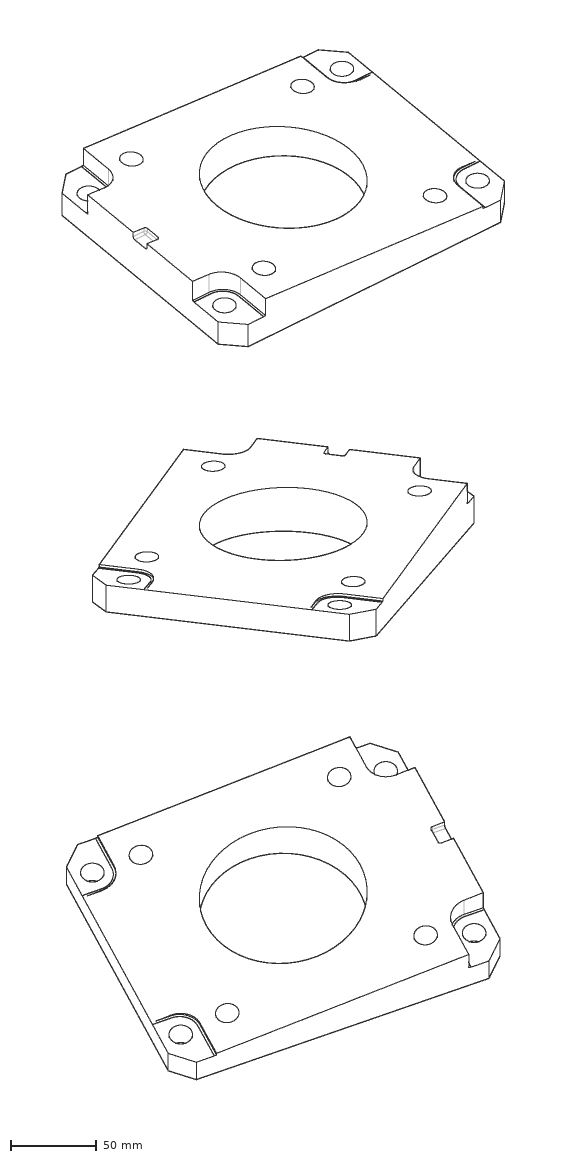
import cadquery as cq
import math

width = 174.6
length = 212.0
front_height = 31.8
slope_angle = 4.0
back_height = front_height - length * math.tan(math.radians(slope_angle))
corner_chamfer = 12.5

bore_diameter = 98.3
hole_diameter = 13.8
corner_hole_spacing = (130.0, 187.3)
inner_hole_spacing = (127.0, 127.0)

seat_height = 17.0
seat_width = 37.0
seat_length = 25.5
seat_radius = 13.1
ledge_width = 1.5
ledge_height = 0.2

notch_width = 13.1
notch_length = 9.3
notch_depth = 4.7
notch_fillet = 1.5


def wedge_block():
    """Block whose top slopes down from front to back, with chamfered vertical corners."""
    profile = [
        (-length / 2, 0),
        (length / 2, 0),
        (length / 2, back_height),
        (-length / 2, front_height),
    ]
    wedge = cq.Workplane("YZ").polyline(profile).close().extrude(width / 2, both=True)
    return wedge.edges("|Z").chamfer(corner_chamfer)


def corner_cutter(side_x, side_y, inset, floor_height):
    """Space above a corner floor, its walls set back by inset, rounded at the inner corner."""
    return (
        cq.Workplane("XY", origin=(side_x * width / 2, side_y * length / 2, floor_height))
        .rect(2 * (seat_width - inset), 2 * (seat_length - inset))
        .extrude(front_height)
        .edges("|Z")
        .fillet(seat_radius - inset)
    )


def corner_seat_cutter(side_x, side_y):
    """Space above one flat seat and the low ledge along its walls."""
    ledge_space = corner_cutter(side_x, side_y, 0, seat_height + ledge_height)
    seat_space = corner_cutter(side_x, side_y, ledge_width, seat_height)
    return ledge_space.union(seat_space)


def notch_cutter():
    """Shallow notch, open at the front and top, with rounded inner corners and floor edge."""
    return (
        cq.Workplane("XY", origin=(0, -length / 2, front_height - notch_depth))
        .rect(notch_width, 2 * notch_length)
        .extrude(front_height)
        .edges("|Z or <Z")
        .fillet(notch_fillet)
    )


def hole_pattern(plane, spacing):
    """Four through holes on a rectangle centred on a plane, square to that plane."""
    return (
        cq.Workplane(plane)
        .rect(*spacing, forConstruction=True)
        .vertices()
        .circle(hole_diameter / 2)
        .extrude(2 * front_height, both=True)
    )


result = wedge_block()
for side_x in (-1, 1):
    for side_y in (-1, 1):
        result = result.cut(corner_seat_cutter(side_x, side_y))
result = result.cut(notch_cutter())
result = result.cut(cq.Workplane("XY").circle(bore_diameter / 2).extrude(front_height))

base_plane = cq.Plane.XY()
slope_normal = (0, math.sin(math.radians(slope_angle)), math.cos(math.radians(slope_angle)))
top_plane = cq.Plane(
    origin=(0, 0, (front_height + back_height) / 2),
    xDir=(1, 0, 0),
    normal=slope_normal,
)
result = result.cut(hole_pattern(base_plane, corner_hole_spacing))
result = result.cut(hole_pattern(top_plane, inner_hole_spacing))